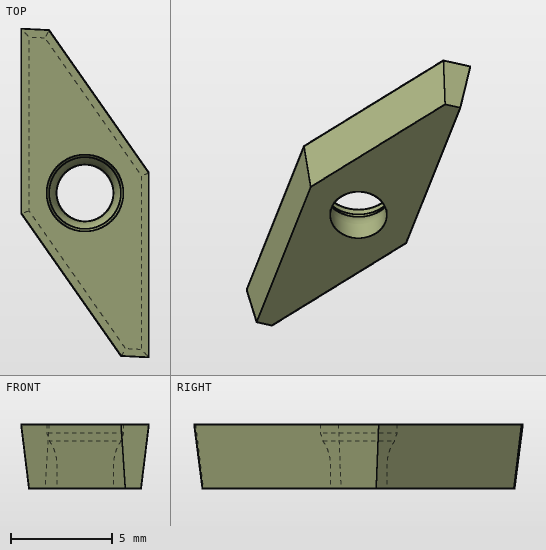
import cadquery as cq
import math

THICKNESS = 3.18
WIDTH = 6.33
LENGTH = 16.27
POINT_ANGLE = 35.0
RELIEF_ANGLE = 7.0
TIP_FLAT_ANGLE = 3.0

MOUTH_RADIUS = 1.9
MOUTH_DEPTH = 0.42
LAND_RADIUS = 1.81
LAND_DEPTH = 0.66
SEAT_RADIUS = 1.775
SEAT_DEPTH = 0.81
BORE_RADIUS = 1.4
BORE_DEPTH = 1.98


def top_outline():
    """Outline of the top face: one half, then the same half turned by 180 degrees."""
    half_width = WIDTH / 2
    half_length = LENGTH / 2
    point = math.radians(POINT_ANGLE)
    tip_slope = math.tan(math.radians(TIP_FLAT_ANGLE))

    obtuse_y = half_width * math.tan(point / 2)
    flat_y_at_axis = half_length - half_width * tip_slope
    flat_end_x = (half_width - flat_y_at_axis * math.sin(point)) / (
        math.cos(point) - tip_slope * math.sin(point)
    )
    flat_end_y = flat_y_at_axis - flat_end_x * tip_slope

    half = [
        (half_width, obtuse_y),
        (flat_end_x, flat_end_y),
        (-half_width, half_length),
    ]
    return half + [(-x, -y) for x, y in half]


def insert_body():
    """The outline is extruded down from the top face with tapered flanks."""
    return (
        cq.Workplane("XY", origin=(0, 0, THICKNESS))
        .polyline(top_outline())
        .close()
        .extrude(-THICKNESS, taper=RELIEF_ANGLE)
    )


def seat_arc_middle():
    """Middle of the seat arc, which meets the bore wall tangentially."""
    drop = BORE_DEPTH - SEAT_DEPTH
    step = SEAT_RADIUS - BORE_RADIUS
    arc_radius = (drop**2 + step**2) / (2 * step)
    half_sweep = math.asin(drop / arc_radius) / 2
    return (
        BORE_RADIUS + arc_radius * (1 - math.cos(half_sweep)),
        THICKNESS - BORE_DEPTH + arc_radius * math.sin(half_sweep),
    )


def screw_hole():
    """Revolved tool for the hole; sketch X is the radius and sketch Y is the height."""
    return (
        cq.Workplane("XZ")
        .moveTo(0, THICKNESS)
        .lineTo(MOUTH_RADIUS, THICKNESS)
        .lineTo(MOUTH_RADIUS, THICKNESS - MOUTH_DEPTH)
        .lineTo(LAND_RADIUS, THICKNESS - LAND_DEPTH)
        .lineTo(SEAT_RADIUS, THICKNESS - SEAT_DEPTH)
        .threePointArc(seat_arc_middle(), (BORE_RADIUS, THICKNESS - BORE_DEPTH))
        .lineTo(BORE_RADIUS, 0)
        .lineTo(0, 0)
        .close()
        .revolve(360, (0, 0, 0), (0, 1, 0))
    )


result = insert_body().cut(screw_hole())